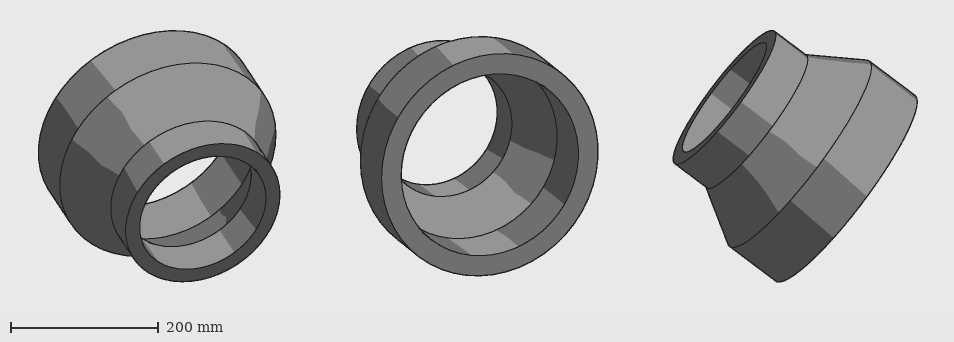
import cadquery as cq

total_length = 209.0
large_length = 79.5
small_length = 55.0
large_outer_diameter = 315.0
large_bore_diameter = 257.7
small_outer_diameter = 225.0
small_bore_diameter = 184.0

cone_start = large_length
cone_end = total_length - small_length


def stepped_cone(large_diameter, small_diameter):
    """Solid of two coaxial cylinders joined by a cone."""
    large_radius = large_diameter / 2
    small_radius = small_diameter / 2
    return (
        cq.Workplane("XY")
        .moveTo(0, 0)
        .lineTo(0, large_radius)
        .lineTo(cone_start, large_radius)
        .lineTo(cone_end, small_radius)
        .lineTo(total_length, small_radius)
        .lineTo(total_length, 0)
        .close()
        .revolve(360, (0, 0, 0), (1, 0, 0))
    )


body = stepped_cone(large_outer_diameter, small_outer_diameter)
bore = stepped_cone(large_bore_diameter, small_bore_diameter)
result = body.cut(bore)